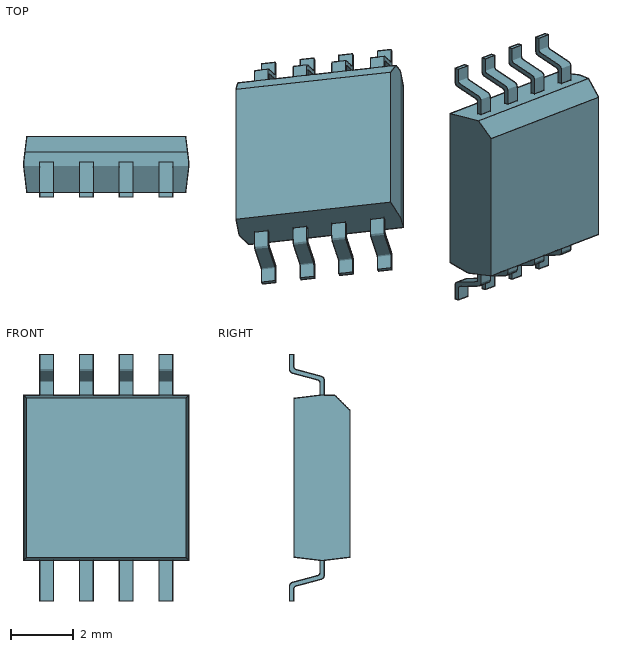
import cadquery as cq
import math


side = 5.3
housing_depth = 1.8
belt_depth = 0.1
draft_inset = 0.1
bevel_size = 0.5

overall_length = 7.9
lead_width = 0.45
lead_thickness = 0.15
embed_length = lead_thickness
standoff = 0.15
foot_length = 0.58
slope_angle = 15.0
inner_radius = 0.08
outer_radius = 0.15
leads_per_row = 4
lead_pitch = 1.27

half_side = side / 2
half_depth = housing_depth / 2
half_belt = belt_depth / 2


def drafted_half(direction, top_inset):
    """Housing half from the belt to a smaller outer face, on the -Y (-1) or +Y (1) side."""
    outer_width = side - 2 * draft_inset
    outer_height = side - draft_inset - top_inset
    outer_center = (draft_inset - top_inset) / 2
    return (
        cq.Workplane("XZ", origin=(0, direction * half_belt, 0))
        .rect(side, side)
        .workplane(offset=-direction * (half_depth - half_belt))
        .center(0, outer_center)
        .rect(outer_width, outer_height)
        .loft(ruled=True)
    )


def make_housing():
    belt = cq.Workplane("XY").box(side, belt_depth, side)
    front = drafted_half(-1, draft_inset)
    back = drafted_half(1, 0)
    bevel = (
        cq.Workplane("YZ")
        .moveTo(half_depth, half_side)
        .lineTo(half_depth - bevel_size, half_side)
        .lineTo(half_depth, half_side - bevel_size)
        .close()
        .extrude(half_side, both=True)
    )
    return belt.union(front).union(back).cut(bevel)


def make_lead(x):
    """Upper gull-wing lead centred on x, with its inner end set into the housing."""
    slope = math.radians(slope_angle)
    tip = overall_length / 2
    inner_end = half_side - embed_length
    shank_front = -lead_thickness / 2
    shank_back = lead_thickness / 2
    foot_front = -half_depth - standoff
    foot_back = foot_front + lead_thickness

    def underside(y):
        return tip - foot_length - (y - foot_front) * math.tan(slope)

    def upper_side(y):
        return underside(y) + lead_thickness / math.cos(slope)

    bar = (
        cq.Workplane("YZ", origin=(x, 0, 0))
        .moveTo(shank_front, inner_end)
        .lineTo(shank_front, underside(shank_front))
        .lineTo(foot_front, underside(foot_front))
        .lineTo(foot_front, tip)
        .lineTo(foot_back, tip)
        .lineTo(foot_back, upper_side(foot_back))
        .lineTo(shank_back, upper_side(shank_back))
        .lineTo(shank_back, inner_end)
        .close()
        .extrude(lead_width / 2, both=True)
    )

    def bend_edge(y, z):
        return cq.selectors.NearestToPointSelector((x, y, z))

    bar = bar.edges(bend_edge(foot_front, underside(foot_front))).fillet(outer_radius)
    bar = bar.edges(bend_edge(shank_back, upper_side(shank_back))).fillet(outer_radius)
    bar = bar.edges(bend_edge(shank_front, underside(shank_front))).fillet(inner_radius)
    bar = bar.edges(bend_edge(foot_back, upper_side(foot_back))).fillet(inner_radius)
    return bar


housing = make_housing()

leads = []
for i in range(leads_per_row):
    lead_x = (i - (leads_per_row - 1) / 2) * lead_pitch
    upper_lead = make_lead(lead_x)
    lower_lead = upper_lead.mirror("XY")
    for lead in (upper_lead, lower_lead):
        housing = housing.cut(lead)
        leads.append(lead.val())

result = cq.Compound.makeCompound([housing.val(), *leads])